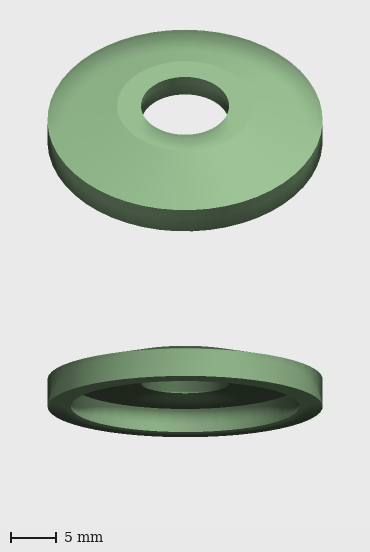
import cadquery as cq

outer_diameter = 29.97
total_height = 5.1
rim_height = 3.05
top_flat_diameter = 14.8
hole_diameter = 9.6
wall_thickness = 2.52

outer_radius = outer_diameter / 2
top_flat_radius = top_flat_diameter / 2
hole_radius = hole_diameter / 2
recess_radius = outer_radius - wall_thickness
recess_depth = total_height - wall_thickness

half_section = (
    cq.Workplane("XZ")
    .moveTo(recess_radius, 0)
    .lineTo(outer_radius, 0)
    .lineTo(outer_radius, rim_height)
    .lineTo(top_flat_radius, total_height)
    .lineTo(hole_radius, total_height)
    .lineTo(hole_radius, recess_depth)
    .lineTo(recess_radius, recess_depth)
    .close()
)

result = half_section.revolve(360, (0, 0), (0, 1))